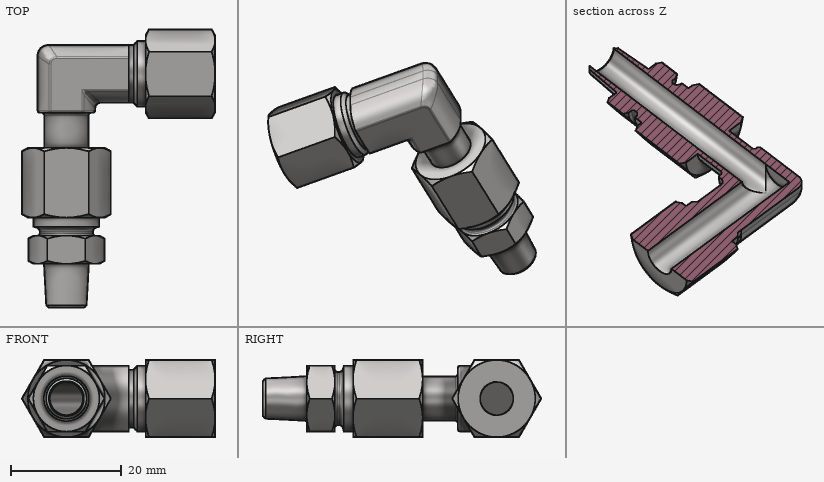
import cadquery as cq
import math


bore_diameter = 6.0
collar_diameter = 12.0
nut_across_flats = 14.0
nut_length = 12.65
nut_corner_radius = nut_across_flats / math.sqrt(3)
hex_chamfer_angle = 30.0

elbow_height = collar_diameter
elbow_half_width = 5.25
elbow_top_half_width = 3.05
side_flat_half_height = 1.1
long_edge_fillet = 0.5
outer_corner_fillet = 2.0
inner_corner_fillet = 0.9
end_fillet = 0.5

x_elbow_end = 11.35
x_cone_start = 12.2
x_collar_start = 12.9
x_end = 27.0
x_nut_start = x_end - nut_length

total_length = 50.6
y_end = total_length - nut_corner_radius
y_elbow_end = 7.1
y_nut_start = 13.45
y_nut_end = y_nut_start + nut_length
y_collar_end = 27.75
y_hex_start = 29.4
y_hex_end = 34.5
tube_radius = 4.05
tube_root_fillet = 0.45

groove_radius = 9.7 / 2
collar_cone_angle = 15.0
groove_collar_fillet = 0.7
groove_hex_fillet = 0.45
hex_across_flats = 12.0

thread_root_radius = 4.1
thread_tip_radius = 3.7
thread_chamfer = 0.5

x_branch = cq.Workplane("YZ")
y_branch = cq.Workplane("XZ")


def disc(branch, start, end, radius):
    """Cylinder on a branch axis between two distances from the origin."""
    return branch.workplane(offset=start).circle(radius).extrude(end - start)


def turned(branch, profile):
    """Close a (radius, distance) profile, turn it about its axis and lay it along a branch."""
    solid = profile.close().revolve(360, (0, 0, 0), (0, 1, 0))
    turn_about_z = -90 if branch is x_branch else 180
    return solid.rotate((0, 0, 0), (0, 0, 1), turn_about_z)


def chamfered_hexagon(branch, start, end, across_flats):
    """Hexagon with top and bottom flats, its corners turned off at both ends."""
    corner_radius = across_flats / math.sqrt(3)
    flat_radius = across_flats / 2
    depth = (corner_radius - flat_radius) * math.tan(math.radians(hex_chamfer_angle))
    blank = branch.workplane(offset=start).polygon(6, 2 * corner_radius).extrude(end - start)
    envelope = (
        cq.Workplane("XY")
        .moveTo(0, start)
        .lineTo(flat_radius, start)
        .lineTo(corner_radius, start + depth)
        .lineTo(corner_radius, end - depth)
        .lineTo(flat_radius, end)
        .lineTo(0, end)
    )
    return blank.intersect(turned(branch, envelope))


def tangent_arc_radius(rise, run):
    """Radius of an arc that leaves a line tangentially and moves by rise along it and run across it."""
    return (rise**2 + run**2) / (2 * run)


def elbow_bar(branch, start, end):
    """Bar with flat top and bottom, a bulging inner side and an outer side bulging from a narrow flat."""
    outward = 1 if branch is x_branch else -1
    outer_x = outward * elbow_half_width
    inner_x = -outer_x
    top_x = outward * elbow_top_half_width
    top_z = elbow_height / 2
    flat_z = side_flat_half_height
    outer_arc_radius = tangent_arc_radius(top_z - flat_z, elbow_half_width - elbow_top_half_width)
    return (
        branch.workplane(offset=start)
        .moveTo(outer_x, -flat_z)
        .lineTo(outer_x, flat_z)
        .radiusArc((top_x, top_z), -outward * outer_arc_radius)
        .lineTo(-top_x, top_z)
        .threePointArc((inner_x, 0), (-top_x, -top_z))
        .lineTo(top_x, -top_z)
        .radiusArc((outer_x, -flat_z), -outward * outer_arc_radius)
        .close()
        .extrude(end - start)
    )


def corner_box(x_sign, y_sign):
    """Selector for edges that lie wholly around one mitred corner of the elbow."""
    near = side_flat_half_height
    far = elbow_half_width + side_flat_half_height
    return cq.selectors.BoxSelector(
        (x_sign * near, y_sign * near, -elbow_height),
        (x_sign * far, y_sign * far, elbow_height),
        boundingbox=True,
    )


def elbow_body():
    """Two bars mitred at a right angle, with rounded corners and edges."""
    reach = 2 * x_elbow_end
    x_side = (
        cq.Workplane("XY")
        .polyline([(-reach, reach), (reach, reach), (reach, -reach)])
        .close()
        .extrude(elbow_height, both=True)
    )
    x_bar = elbow_bar(x_branch, -reach, x_elbow_end).intersect(x_side)
    y_bar = elbow_bar(y_branch, -reach, y_elbow_end).cut(x_side)
    body = x_bar.union(y_bar).clean()
    body = body.edges(corner_box(-1, 1)).fillet(outer_corner_fillet)
    body = body.faces(">Z or <Z").edges("not (<Y or >X)").fillet(long_edge_fillet)
    body = body.edges(corner_box(1, -1)).fillet(inner_corner_fillet)
    return body.faces("<Y").edges().fillet(end_fillet)


def x_branch_fitting():
    """Neck flaring to a collar, then the nut."""
    collar_radius = collar_diameter / 2
    neck = (
        cq.Workplane("XY")
        .lineTo(elbow_half_width, 0)
        .lineTo(elbow_half_width, x_cone_start)
        .lineTo(collar_radius, x_collar_start)
        .lineTo(collar_radius, x_nut_start)
        .lineTo(0, x_nut_start)
    )
    nut = chamfered_hexagon(x_branch, x_nut_start, x_end, nut_across_flats)
    return turned(x_branch, neck).union(nut)


def tube():
    """Tube from the elbow to the nut, with a fillet where it leaves the elbow."""
    r = tube_radius
    f = tube_root_fillet
    profile = (
        cq.Workplane("XY")
        .lineTo(r + f, 0)
        .lineTo(r + f, y_elbow_end)
        .radiusArc((r, y_elbow_end + f), f)
        .lineTo(r, y_nut_start)
        .lineTo(0, y_nut_start)
    )
    return turned(y_branch, profile)


def collar_and_groove():
    """Collar below the nut and the relief groove that runs into the small hexagon."""
    collar_radius = collar_diameter / 2
    f = groove_collar_fillet
    cone_angle = math.radians(collar_cone_angle)
    cone_end_radius = groove_radius + f * (1 - math.sin(cone_angle))
    cone_end = y_collar_end + (collar_radius - cone_end_radius) * math.tan(cone_angle)
    groove_start = cone_end + f * math.cos(cone_angle)
    profile = (
        cq.Workplane("XY")
        .moveTo(0, y_nut_end)
        .lineTo(collar_radius, y_nut_end)
        .lineTo(collar_radius, y_collar_end)
        .lineTo(cone_end_radius, cone_end)
        .radiusArc((groove_radius, groove_start), f)
        .lineTo(groove_radius, y_hex_start - groove_hex_fillet)
        .radiusArc((groove_radius + groove_hex_fillet, y_hex_start), groove_hex_fillet)
        .lineTo(0, y_hex_start)
    )
    return turned(y_branch, profile)


def threaded_end():
    """Tapered plain stud with a chamfered tip."""
    profile = (
        cq.Workplane("XY")
        .moveTo(0, y_hex_end)
        .lineTo(thread_root_radius, y_hex_end)
        .lineTo(thread_tip_radius, y_end - thread_chamfer)
        .lineTo(thread_tip_radius - thread_chamfer, y_end)
        .lineTo(0, y_end)
    )
    return turned(y_branch, profile)


def bend_bore():
    """Bore through both branches; the X bore runs on to the far side of the Y bore."""
    radius = bore_diameter / 2
    return disc(x_branch, -radius, x_end, radius).union(disc(y_branch, 0, y_end, radius))


result = (
    elbow_body()
    .union(x_branch_fitting())
    .union(tube())
    .union(chamfered_hexagon(y_branch, y_nut_start, y_nut_end, nut_across_flats))
    .union(collar_and_groove())
    .union(chamfered_hexagon(y_branch, y_hex_start, y_hex_end, hex_across_flats))
    .union(threaded_end())
    .cut(bend_bore())
)